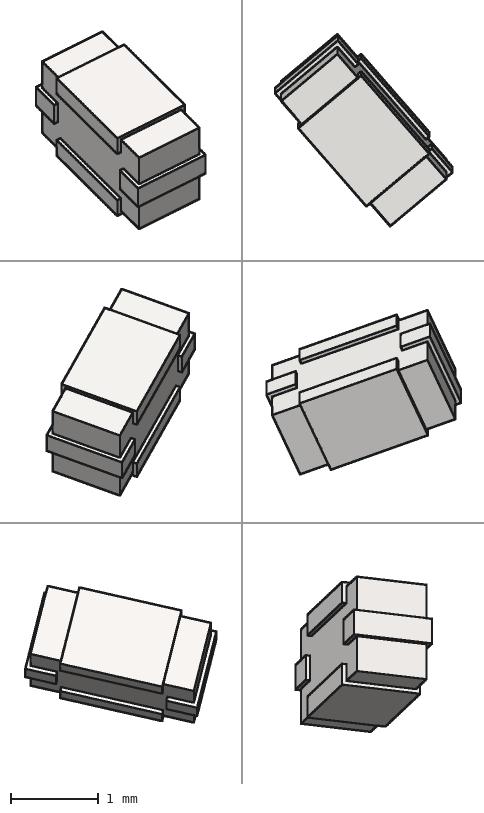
import cadquery as cq

length = 2.01
depth = 0.94
height = 1.24

sheet = 0.05

plate_length = 1.194
plate_flange = 0.251

strap_height = 0.297
strap_flange = 0.36

body_length = length - 2 * sheet
body_depth = depth - 2 * sheet
body_height = height - 2 * sheet

body = cq.Workplane("XY").box(body_length, body_depth, body_height)


def plate_terminal(side):
    """Block whose outer part wraps the top (side=1) or bottom (side=-1) of the body."""
    center_z = side * (height - plate_flange) / 2
    return cq.Workplane("XY").box(plate_length, depth, plate_flange).translate((0, 0, center_z))


def end_terminal(side):
    """Block whose outer part wraps the +X (side=1) or -X (side=-1) end of the body."""
    center_x = side * (length - strap_flange) / 2
    return cq.Workplane("XY").box(strap_flange, depth, strap_height).translate((center_x, 0, 0))


result = body
for side in (-1, 1):
    result = result.union(plate_terminal(side))
    result = result.union(end_terminal(side))